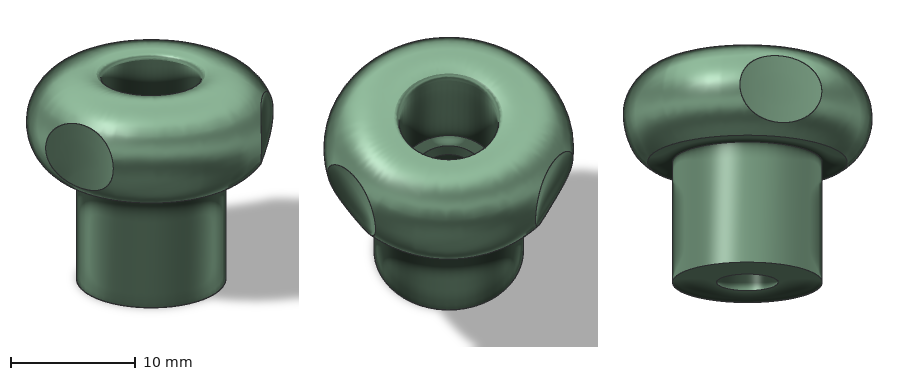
import cadquery as cq
import math

total_height = 18.0
stem_height = 10.0
stem_diameter = 12.0

head_radius = 10.0
underside_radius = 8.0
head_height = total_height - stem_height
rim_inset = head_radius - underside_radius
rim_radius = rim_inset + head_height - math.sqrt(2 * rim_inset * head_height)
rim_center_r = head_radius - rim_radius
rim_center_z = total_height - rim_radius

recess_diameter = 8.0
recess_floor_z = stem_height
recess_lip_fillet = 0.5
bore_diameter = 4.92
countersink_depth = 0.5

scallop_count = 3
scallop_radius = 15.0
scallop_floor_radius = 9.0
first_scallop_angle = -90.0


def rim_top_z(radius):
    """Height of the rounded rim above a given distance from the axis."""
    return rim_center_z + math.sqrt(rim_radius**2 - (radius - rim_center_r) ** 2)


def make_body():
    """Stem and head as one revolved solid with the top recess and its rounded lip."""
    stem_radius = stem_diameter / 2
    recess_radius = recess_diameter / 2
    profile = (
        cq.Workplane("XZ")
        .moveTo(0, 0)
        .lineTo(stem_radius, 0)
        .lineTo(stem_radius, stem_height)
        .lineTo(underside_radius, stem_height)
        .threePointArc((head_radius, rim_center_z), (recess_radius, rim_top_z(recess_radius)))
        .lineTo(recess_radius, recess_floor_z)
        .lineTo(0, recess_floor_z)
        .close()
    )
    body = profile.revolve(360, (0, 0, 0), (0, 1, 0))
    lip_center = (0, 0, rim_top_z(recess_radius))
    lip_edge = cq.selectors.NearestToPointSelector(lip_center)
    return body.edges(lip_edge).fillet(recess_lip_fillet)


def cut_bore(body):
    """Through bore with a 45 degree countersink at the recess floor."""
    bore_radius = bore_diameter / 2
    countersink_radius = bore_radius + countersink_depth
    cutter = (
        cq.Workplane("XZ")
        .moveTo(0, 0)
        .lineTo(bore_radius, 0)
        .lineTo(bore_radius, recess_floor_z - countersink_depth)
        .lineTo(countersink_radius, recess_floor_z)
        .lineTo(0, recess_floor_z)
        .close()
        .revolve(360, (0, 0, 0), (0, 1, 0))
    )
    return body.cut(cutter)


def cut_scallops(body):
    """Shallow upright cylindrical scallops spaced evenly around the head."""
    scallop_center = scallop_floor_radius + scallop_radius
    for index in range(scallop_count):
        angle = math.radians(first_scallop_angle + index * 360 / scallop_count)
        cutter = (
            cq.Workplane("XY", origin=(0, 0, stem_height))
            .center(scallop_center * math.cos(angle), scallop_center * math.sin(angle))
            .circle(scallop_radius)
            .extrude(head_height)
        )
        body = body.cut(cutter)
    return body


result = cut_scallops(cut_bore(make_body()))